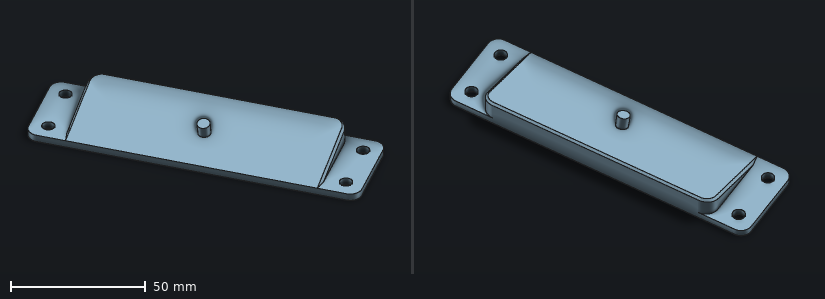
import cadquery as cq
import math

length = 130.0
width = 35.0
plate_thickness = 3.0
plate_corner_radius = 4.5

hole_diameter = 5.0
hole_inset = 7.0

block_length = 100.1
block_corner_radius = 5.3
slope_angle = 13.0
edge_chamfer = 1.0

pin_diameter = 5.0
pin_height = 5.1
pin_from_front = 15.9

slope = math.tan(math.radians(slope_angle))
block_rise = width * slope


def make_plate():
    plate = cq.Workplane("XY").box(length, width, plate_thickness, centered=(True, True, False))
    plate = plate.edges("|Z").fillet(plate_corner_radius)
    return (
        plate.faces(">Z").workplane()
        .rect(length - 2 * hole_inset, width - 2 * hole_inset, forConstruction=True)
        .vertices().hole(hole_diameter)
    )


def make_block():
    """Wedge rising from the front edge, chamfered around its slope at the sides and back."""
    wedge = (
        cq.Workplane("YZ")
        .moveTo(-width / 2, 0)
        .lineTo(width / 2, 0)
        .lineTo(width / 2, plate_thickness + block_rise)
        .lineTo(-width / 2, plate_thickness)
        .close()
        .extrude(block_length / 2, both=True)
    )
    wedge = wedge.edges("|Z and >Y").fillet(block_corner_radius)
    slope_normal = cq.Vector(0, -slope, 1)
    slope_face = wedge.faces(cq.selectors.DirectionMinMaxSelector(slope_normal))
    front_edge = cq.selectors.DirectionMinMaxSelector(cq.Vector(0, 1, 0), directionMax=False)
    rim = slope_face.edges(cq.selectors.InverseSelector(front_edge))
    return rim.chamfer(edge_chamfer)


def make_pin():
    foot = (0, pin_from_front - width / 2, plate_thickness + pin_from_front * slope)
    slope_plane = cq.Plane(origin=foot, xDir=(1, 0, 0), normal=(0, -slope, 1))
    root_depth = plate_thickness / 2
    return (
        cq.Workplane(slope_plane).workplane(offset=-root_depth)
        .circle(pin_diameter / 2).extrude(root_depth + pin_height)
    )


result = make_plate().union(make_block()).union(make_pin())